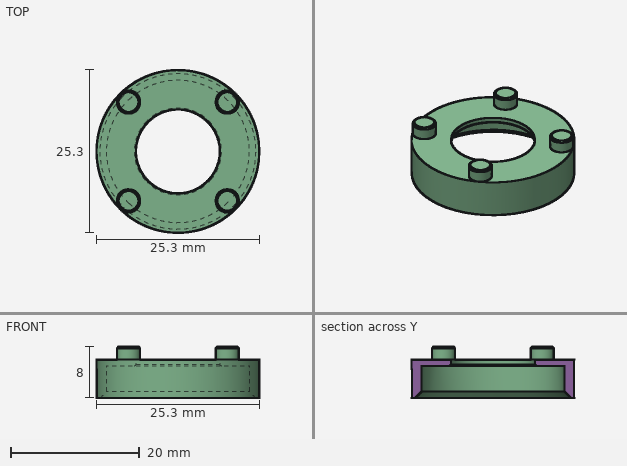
import cadquery as cq

outer_radius = 12.65
cap_height = 6.0
plate_thickness = 1.0
wall_thickness = 1.57
rim_chamfer = 1.0

hole_radius = 6.5
hole_chamfer = 0.25

pin_radius = 1.8
pin_height = 2.0
pin_chamfer = 0.25
pin_offset = 7.67

pocket_radius = outer_radius - wall_thickness
pocket_ceiling = cap_height - plate_thickness


def make_cap():
    """Revolve the section of a cap that is open underneath and pierced at its centre."""
    section = (
        cq.Workplane("XZ")
        .moveTo(hole_radius, cap_height)
        .lineTo(outer_radius, cap_height)
        .lineTo(outer_radius, 0)
        .lineTo(pocket_radius + rim_chamfer, 0)
        .lineTo(pocket_radius, rim_chamfer)
        .lineTo(pocket_radius, pocket_ceiling)
        .lineTo(hole_radius + hole_chamfer, pocket_ceiling)
        .lineTo(hole_radius, pocket_ceiling + hole_chamfer)
        .close()
    )
    return section.revolve(360, (0, 0, 0), (0, 1, 0))


def make_pins():
    """Four round pins with chamfered tips."""
    return (
        cq.Workplane("XY", origin=(0, 0, cap_height))
        .rect(2 * pin_offset, 2 * pin_offset, forConstruction=True)
        .vertices()
        .circle(pin_radius)
        .extrude(pin_height)
        .faces(">Z")
        .chamfer(pin_chamfer)
    )


result = make_cap().union(make_pins())